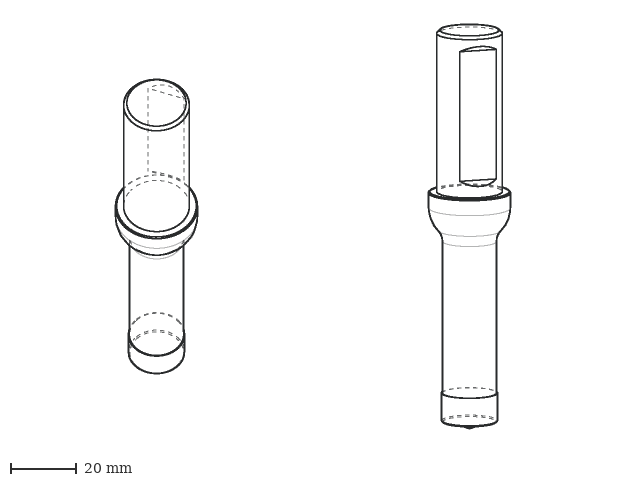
import cadquery as cq
import math

total_height = 123.5

shank_radius = 20.0 / 2
shank_length = 50.0
shank_chamfer = 1.0

notch_depth = 1.9
notch_slope_height = 1.6
notch_top_gap = 3.2
notch_bottom_gap = 3.5

collar_radius = 25.0 / 2
collar_height = 5.0
collar_chamfer = 0.4
bulge_radius = 10.0
fillet_radius = 5.0
neck_radius = 16.5 / 2

head_radius = 17.0 / 2
head_top = 11.1
head_corner_height = 2.6
head_chamfer = 0.4
point_radius = 8.0 / 2
point_height = 1.6

collar_top = total_height - shank_length
collar_bottom = collar_top - collar_height
bulge_center_r = collar_radius - bulge_radius
fillet_center_r = neck_radius + fillet_radius
blend_angle = math.acos((fillet_center_r - bulge_center_r) / (bulge_radius + fillet_radius))
neck_top = collar_bottom - (bulge_radius + fillet_radius) * math.sin(blend_angle)


def bulge_point(angle):
    """Point on the convex arc, at an angle below the horizontal."""
    return (
        bulge_center_r + bulge_radius * math.cos(angle),
        collar_bottom - bulge_radius * math.sin(angle),
    )


def fillet_point(angle):
    """Point on the concave arc, at an angle above the horizontal."""
    return (
        fillet_center_r - fillet_radius * math.cos(angle),
        neck_top + fillet_radius * math.sin(angle),
    )


def revolve_about_z(profile):
    """Revolve a closed (radius, height) profile about the Z axis."""
    return profile.revolve(360, (0, 0, 0), (0, 1, 0))


def make_notch_cutter():
    """Trapezoid in the YZ plane, running right across the shank in X."""
    notch_top = total_height - notch_top_gap
    notch_bottom = collar_top + notch_bottom_gap
    flat_y = shank_radius - notch_depth
    outer_y = shank_radius + notch_depth
    return (
        cq.Workplane("YZ")
        .moveTo(flat_y, notch_bottom + notch_slope_height)
        .lineTo(outer_y, notch_bottom - notch_slope_height)
        .lineTo(outer_y, notch_top + notch_slope_height)
        .lineTo(flat_y, notch_top - notch_slope_height)
        .close()
        .extrude(shank_radius, both=True)
    )


def make_holder():
    """Shank, collar and neck, with the clamping notch cut out."""
    profile = (
        cq.Workplane("XZ")
        .moveTo(0, head_top)
        .lineTo(neck_radius, head_top)
        .lineTo(neck_radius, neck_top)
        .threePointArc(fillet_point(blend_angle / 2), fillet_point(blend_angle))
        .threePointArc(bulge_point(blend_angle / 2), (collar_radius, collar_bottom))
        .lineTo(collar_radius, collar_top - collar_chamfer)
        .lineTo(collar_radius - collar_chamfer, collar_top)
        .lineTo(shank_radius, collar_top)
        .lineTo(shank_radius, total_height - shank_chamfer)
        .lineTo(shank_radius - shank_chamfer, total_height)
        .lineTo(0, total_height)
        .close()
    )
    return revolve_about_z(profile).cut(make_notch_cutter())


def make_drill_head():
    """Cylindrical head seated under the neck, ending in a two-step conical point."""
    profile = (
        cq.Workplane("XZ")
        .moveTo(0, 0)
        .lineTo(point_radius, point_height)
        .lineTo(head_radius - head_chamfer, head_corner_height - head_chamfer)
        .lineTo(head_radius, head_corner_height)
        .lineTo(head_radius, head_top)
        .lineTo(0, head_top)
        .close()
    )
    return revolve_about_z(profile)


holder = make_holder()
drill_head = make_drill_head()

result = cq.Compound.makeCompound([holder.val(), drill_head.val()])